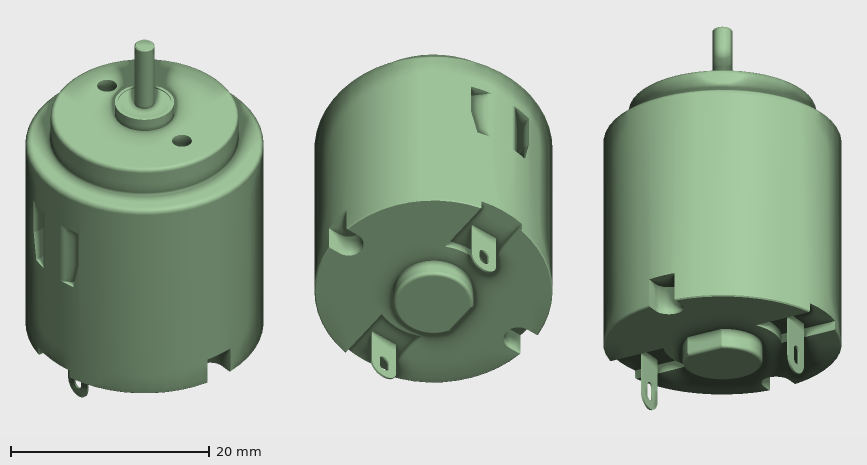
import cadquery as cq
import math

total_height = 39.95
lug_drop = 5.05
shaft_top = total_height - lug_drop
can_height = 23.1
front_boss_top = 26.33
collar_top = 27.73

can_diameter = 24.0
can_radius = can_diameter / 2
can_fillet = 0.65
can_rear_chamfer = 0.1
front_boss_diameter = 18.95
front_boss_fillet = 0.48
root_fillet = 0.28
collar_diameter = 6.0
bearing_diameter = 5.45
bearing_recess = 0.1
shaft_diameter = 2.0
shaft_chamfer = 0.1

mount_hole_diameter = 2.0
mount_hole_offset = 6.0
mount_hole_depth = 2.0

rear_boss_radius = 4.05
rear_boss_height = 2.05
rear_boss_flat = 3.5
rear_boss_fillet = 0.35

side_notch_width = 3.0
side_notch_height = 3.0
side_notch_centre = 10.55

recess_width = 5.0
recess_height = 0.95
recess_floor_radius = 6.0
lug_width = 3.0
lug_thickness = 0.2
lug_offset = 8.6
lug_root = 0.8
lug_slot_length = 2.0
lug_slot_width = 1.08
lug_slot_z = -3.08

window_inner = 1.2
window_outer = 3.6
window_tip = 2.95
window_top = 18.6
window_bottom = 11.65
window_taper_top = 14.62
bend_radius = 0.8
bend_angle = math.radians(45)

overcut = 0.8


def cylinder(diameter, bottom, top):
    return cq.Workplane("XY").workplane(offset=bottom).circle(diameter / 2).extrude(top - bottom)


def make_housing():
    can = cylinder(can_diameter, 0, can_height).faces(">Z").edges().fillet(can_fillet)
    can = can.faces("<Z").chamfer(can_rear_chamfer)
    boss = cylinder(front_boss_diameter, can_height - overcut, front_boss_top)
    boss = boss.faces(">Z").edges().fillet(front_boss_fillet)
    housing = can.union(boss)
    root = cq.selectors.BoxSelector(
        (-can_radius, -can_radius, can_height - root_fillet / 2),
        (can_radius, can_radius, can_height + root_fillet / 2),
    )
    root_edge = housing.edges("%CIRCLE").edges(root).edges(cq.selectors.RadiusNthSelector(0))
    housing = root_edge.fillet(root_fillet)
    collar = cylinder(collar_diameter, front_boss_top - overcut, collar_top)
    bearing_face = cylinder(bearing_diameter, collar_top - bearing_recess, collar_top)
    shaft = cylinder(shaft_diameter, front_boss_top, shaft_top)
    shaft = shaft.faces(">Z").chamfer(shaft_chamfer)
    return housing.union(collar.cut(bearing_face)).union(shaft)


def make_mount_holes():
    return (
        cq.Workplane("XY").workplane(offset=front_boss_top)
        .pushPoints([(-mount_hole_offset, 0), (mount_hole_offset, 0)])
        .circle(mount_hole_diameter / 2).extrude(-mount_hole_depth)
    )


def make_rear_boss():
    boss = cylinder(2 * rear_boss_radius, -rear_boss_height, 0)
    keep = cq.Workplane("XY").box(4 * rear_boss_radius, 4 * rear_boss_radius, 4 * rear_boss_height)
    keep = keep.translate((rear_boss_flat - 2 * rear_boss_radius, 0, 0))
    return boss.intersect(keep).faces("<Z").edges().fillet(rear_boss_fillet)


def make_side_notch():
    """Round-ended slot open to the -X side."""
    half = side_notch_width / 2
    outside = -can_radius - overcut
    return (
        cq.Workplane("XY").moveTo(outside, -half)
        .lineTo(-side_notch_centre, -half)
        .threePointArc((-side_notch_centre + half, 0), (-side_notch_centre, half))
        .lineTo(outside, half).close().extrude(side_notch_height)
    )


def make_terminal_recess():
    """Shallow recess on the -Y side with a cylindrical floor about the motor axis."""
    depth = can_radius + overcut
    block = cq.Workplane("XY").rect(recess_width, depth).extrude(recess_height)
    block = block.translate((0, -depth / 2, 0))
    return block.cut(cylinder(2 * recess_floor_radius, 0, recess_height))


def make_lug():
    """Thin round-ended solder lug on the -Y side."""
    half = lug_width / 2
    top = recess_height + lug_root
    arc_centre = half - lug_drop
    lug = (
        cq.Workplane("XZ").moveTo(-half, top)
        .lineTo(-half, arc_centre)
        .threePointArc((0, -lug_drop), (half, arc_centre))
        .lineTo(half, top).close().extrude(lug_thickness / 2, both=True)
    )
    slot = (
        cq.Workplane("XZ").center(0, lug_slot_z)
        .slot2D(lug_slot_length, lug_slot_width, 90).extrude(lug_thickness, both=True)
    )
    return lug.cut(slot).translate((0, -lug_offset, 0))


def make_window():
    """Opening at +X whose floor follows a tab bent inward at 45 degrees."""
    opening = (
        cq.Workplane("XZ")
        .polyline([
            (window_inner, window_top),
            (window_outer, window_top),
            (window_outer, window_taper_top),
            (window_tip, window_bottom),
            (window_inner, window_bottom),
        ])
        .close().extrude(can_radius + overcut)
    )
    start_angle = math.asin(window_inner / can_radius)
    centre_radius = can_radius - bend_radius
    centre_x = centre_radius * math.sin(start_angle)
    centre_y = -centre_radius * math.cos(start_angle)

    def bend_point(angle):
        return (centre_x + bend_radius * math.sin(angle), centre_y - bend_radius * math.cos(angle))

    bend_start = bend_point(start_angle)
    bend_middle = bend_point((start_angle + bend_angle) / 2)
    bend_end = bend_point(bend_angle)
    run = window_outer - bend_end[0]
    slope_end = (window_outer, bend_end[1] + run * math.tan(bend_angle))
    outside = -can_radius - overcut
    space = (
        cq.Workplane("XY").workplane(offset=window_bottom).moveTo(*bend_start)
        .threePointArc(bend_middle, bend_end)
        .lineTo(*slope_end).lineTo(window_outer, outside).lineTo(window_inner, outside)
        .close().extrude(window_top - window_bottom)
    )
    return opening.intersect(space)


result = make_housing().cut(make_mount_holes()).union(make_rear_boss())

for side_feature in (make_side_notch(), make_terminal_recess()):
    result = result.cut(side_feature)
    result = result.cut(side_feature.rotate((0, 0, 0), (0, 0, 1), 180))

lug = make_lug()
result = result.union(lug).union(lug.mirror("XZ"))

window = make_window()
result = result.cut(window).cut(window.mirror("YZ"))